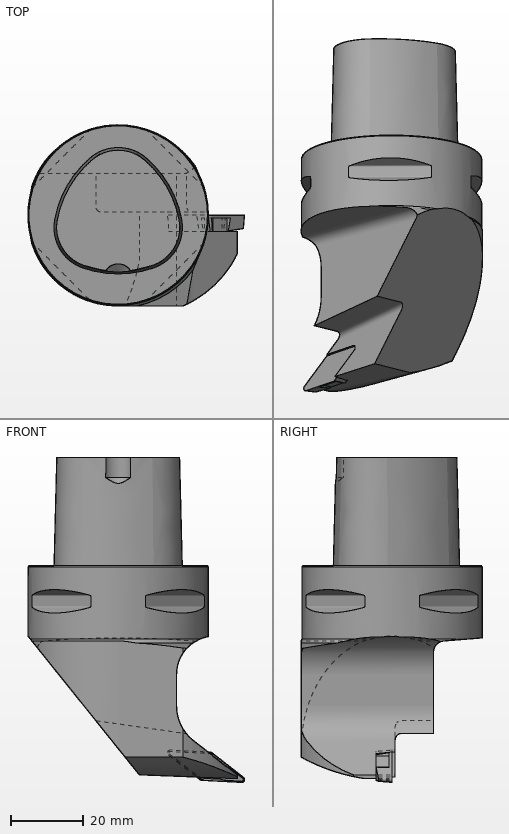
import cadquery as cq
import math


SHANK_LENGTH = 30.0
SHANK_LOBES = 3
SHANK_TIP_REACH = 18.7
SHANK_FLAT_REACH = 16.3
SHANK_LOBE_RADIUS = 11.9
SHANK_TAPER_ANGLE = math.degrees(math.atan(1 / 40))
KEYWAY_RADIUS = 4.0
KEYWAY_Y = -17.5
KEYWAY_DEPTH = 5.6
KEYWAY_CONE_DEPTH = 2.9

FLANGE_RADIUS = 25.0
FLANGE_CHAMFER = 0.3
FLANGE_BOTTOM = -20.3
SLOT_Z = -9.85
SLOT_FLOOR_DISTANCE = 22.2
SLOT_FLOOR_HEIGHT = 3.26
SLOT_WALL_ANGLE = 30.0
SLOT_FLOOR_FILLET = 0.45
SLOT_COUNT = 4

HEAD_RADIUS = 25.2
HEAD_COLLAR_Z = -20.8
HEAD_COLLAR_FOOT_RADIUS = 25.7
HEAD_COLLAR_FOOT_Z = -21.4
HEAD_TOP_ANGLE = 15.0
HEAD_END_X = 33.0
HEAD_BACK_Y = 11.5
SIDE_RADIUS = 30.1
SIDE_CENTRE_X = 5.9
SIDE_CENTRE_Y = 2.4
UNDERCUT_ANGLE = 4.6
UNDERCUT_EDGE_Z = -20.0
UNDERCUT_FILLET = 3.0
FLANK_TOP_Z = -19.46
FLANK_FOOT_X = 5.85
FLANK_FOOT_Z = -57.9
BOTTOM_ANGLE = 2.2
BOTTOM_RADIUS = 52.0
BOTTOM_CENTRE_Z = -7.5
BLADE_BACK_Y = 0.85
BLADE_STEP_START_Z = -42.9
BLADE_STEP_END_Z = -46.1
BLADE_STEP_FILLET = 1.6

INSERT_TIP_X = 35.0
INSERT_TIP_Z = -60.0
INSERT_SIDE = 13.84
INSERT_NOSE = 0.8
INSERT_POINT_ANGLE = 35.0
INSERT_LEAD_ANGLE = 3.0
INSERT_UPPER_ANGLE = INSERT_LEAD_ANGLE + INSERT_POINT_ANGLE
INSERT_THICKNESS = 4.5
INSERT_CLEARANCE = 5.0
INSERT_RIM = 0.8
NOTCH_LENGTH = 6.9
NOTCH_RAMP = 1.0
NOTCH_DEPTH = 0.6
NOSE_RELIEF_START_X = 30.0
NOSE_RELIEF_THICKNESS = 3.7

NECK_X = 16.2
NECK_TOP_RADIUS = 10.5
NECK_TOP_Z = -30.0
NECK_LOWER_RADIUS = 12.0
NECK_INSERT_SETBACK = 0.5

REACH = 100.0
OVERCUT = 1.0


def direction(degrees):
    angle = math.radians(degrees)
    return cq.Vector(math.cos(angle), math.sin(angle))


nose_centre = cq.Vector(INSERT_TIP_X - INSERT_NOSE, INSERT_TIP_Z + INSERT_NOSE)
upper_edge = direction(180 - INSERT_UPPER_ANGLE)
lower_edge = direction(180 - INSERT_LEAD_ANGLE)
bisector = direction(180 - INSERT_LEAD_ANGLE - INSERT_POINT_ANGLE / 2)
sharp_offset = INSERT_NOSE / math.sin(math.radians(INSERT_POINT_ANGLE / 2))
insert_tip = nose_centre - bisector * sharp_offset
insert_top = insert_tip + upper_edge * INSERT_SIDE
insert_low = insert_tip + lower_edge * INSERT_SIDE
insert_far = insert_top + lower_edge * INSERT_SIDE


def xz_plane(y=0.0):
    """Workplane with local axes X and Z, whose extrusions run toward -Y."""
    return cq.Workplane("XZ", origin=(0, y, 0))


def long_prism(outline):
    """Closes an outline and runs it right through the part, both ways from its plane."""
    return outline.close().extrude(REACH, both=True)


def lobed_outline():
    """Lobe arcs and flatter side arcs that join tangentially; one lobe points toward +Y."""
    lobe_offset = SHANK_TIP_REACH - SHANK_LOBE_RADIUS
    bulge = SHANK_TIP_REACH - SHANK_FLAT_REACH
    side_offset = bulge * (2 * lobe_offset - bulge) / (lobe_offset - 2 * bulge)
    side_radius = SHANK_FLAT_REACH + side_offset
    half_pitch = 180 / SHANK_LOBES
    outline = None
    for number in range(SHANK_LOBES):
        lobe_angle = 90 + number * 2 * half_pitch
        lobe_centre = direction(lobe_angle) * lobe_offset
        seams = []
        for side in (-1, 1):
            side_angle = lobe_angle + side * half_pitch
            side_centre = direction(side_angle) * -side_offset
            toward_seam = (lobe_centre - side_centre).normalized()
            seams.append(side_centre + toward_seam * side_radius)
        tip = direction(lobe_angle) * SHANK_TIP_REACH
        if outline is None:
            first_seam = seams[0]
            outline = cq.Workplane("XY").moveTo(first_seam.x, first_seam.y)
        else:
            flat_middle = direction(lobe_angle - half_pitch) * SHANK_FLAT_REACH
            outline = outline.threePointArc(flat_middle.toTuple()[:2], seams[0].toTuple()[:2])
        outline = outline.threePointArc(tip.toTuple()[:2], seams[1].toTuple()[:2])
    last_middle = direction(90 - half_pitch) * SHANK_FLAT_REACH
    return outline.threePointArc(last_middle.toTuple()[:2], first_seam.toTuple()[:2]).close()


def make_shank():
    shank = lobed_outline().extrude(SHANK_LENGTH, taper=SHANK_TAPER_ANGLE)
    floor_z = SHANK_LENGTH - KEYWAY_DEPTH
    keyway = (
        cq.Workplane("XZ", origin=(0, KEYWAY_Y, 0))
        .moveTo(0, floor_z - KEYWAY_CONE_DEPTH)
        .lineTo(KEYWAY_RADIUS, floor_z)
        .lineTo(KEYWAY_RADIUS, SHANK_LENGTH + OVERCUT)
        .lineTo(0, SHANK_LENGTH + OVERCUT)
        .close()
        .revolve(360, (0, 0, 0), (0, 1, 0))
    )
    return shank.cut(keyway)


def make_flange():
    flange = cq.Workplane("XY").circle(FLANGE_RADIUS).extrude(FLANGE_BOTTOM)
    flange = flange.faces(">Z").edges().chamfer(FLANGE_CHAMFER)
    slot_depth = FLANGE_RADIUS - SLOT_FLOOR_DISTANCE + OVERCUT
    half_floor = SLOT_FLOOR_HEIGHT / 2
    half_mouth = half_floor + slot_depth * math.tan(math.radians(SLOT_WALL_ANGLE))
    mouth = SLOT_FLOOR_DISTANCE + slot_depth
    slot = (
        cq.Workplane("XZ")
        .moveTo(SLOT_FLOOR_DISTANCE, SLOT_Z - half_floor)
        .lineTo(mouth, SLOT_Z - half_mouth)
        .lineTo(mouth, SLOT_Z + half_mouth)
        .lineTo(SLOT_FLOOR_DISTANCE, SLOT_Z + half_floor)
        .close()
        .extrude(FLANGE_RADIUS, both=True)
        .faces("<X")
        .edges("|Y")
        .fillet(SLOT_FLOOR_FILLET)
    )
    pitch = 360 / SLOT_COUNT
    for number in range(SLOT_COUNT):
        flange = flange.cut(slot.rotate((0, 0, 0), (0, 0, 1), pitch * (number + 0.5)))
    return flange


def head_blank():
    """Head outline in XY, run down from the flange and trimmed by the sloping shoulder."""
    corner_dy = -HEAD_RADIUS - SIDE_CENTRE_Y
    corner_x = SIDE_CENTRE_X + math.sqrt(SIDE_RADIUS**2 - corner_dy**2)
    end_dx = HEAD_END_X - SIDE_CENTRE_X
    end_y = SIDE_CENTRE_Y - math.sqrt(SIDE_RADIUS**2 - end_dx**2)
    blank = (
        cq.Workplane("XY")
        .moveTo(0, -HEAD_RADIUS)
        .lineTo(corner_x, -HEAD_RADIUS)
        .radiusArc((HEAD_END_X, end_y), -SIDE_RADIUS)
        .lineTo(HEAD_END_X, HEAD_RADIUS)
        .lineTo(0, HEAD_RADIUS)
        .radiusArc((0, -HEAD_RADIUS), -HEAD_RADIUS)
        .close()
        .extrude(-REACH)
    )
    shoulder_drop = (REACH - HEAD_COLLAR_FOOT_RADIUS) * math.tan(math.radians(HEAD_TOP_ANGLE))
    envelope = (
        cq.Workplane("XZ")
        .moveTo(0, FLANGE_BOTTOM)
        .lineTo(FLANGE_RADIUS, FLANGE_BOTTOM)
        .threePointArc((HEAD_RADIUS, HEAD_COLLAR_Z), (HEAD_COLLAR_FOOT_RADIUS, HEAD_COLLAR_FOOT_Z))
        .lineTo(REACH, HEAD_COLLAR_FOOT_Z - shoulder_drop)
        .lineTo(REACH, -REACH)
        .lineTo(0, -REACH)
        .close()
        .revolve(360, (0, 0, 0), (0, 1, 0))
    )
    return blank.intersect(envelope)


def flank_cutter():
    """Everything below the sloping flank on the -X side."""
    slope = (FLANK_TOP_Z - FLANK_FOOT_Z) / (FLANK_FOOT_X + FLANGE_RADIUS)
    return long_prism(
        xz_plane()
        .moveTo(-REACH, FLANK_TOP_Z + slope * (REACH - FLANGE_RADIUS))
        .lineTo(-FLANGE_RADIUS + REACH, FLANK_TOP_Z - slope * REACH)
        .lineTo(-REACH, FLANK_TOP_Z - slope * REACH)
    )


def undercut_cutter():
    """Space behind the head, under the flange."""
    rise = math.tan(math.radians(UNDERCUT_ANGLE))
    inner_z = UNDERCUT_EDGE_Z - rise * (FLANGE_RADIUS - HEAD_BACK_Y)
    outer_z = UNDERCUT_EDGE_Z + rise * (REACH - FLANGE_RADIUS)
    cutter = long_prism(
        cq.Workplane("YZ")
        .moveTo(HEAD_BACK_Y, -REACH)
        .lineTo(HEAD_BACK_Y, inner_z)
        .lineTo(REACH, outer_z)
        .lineTo(REACH, -REACH)
    )
    return cutter.edges("|X").edges("<Y").edges(">Z").fillet(UNDERCUT_FILLET)


def neck_cutter():
    """Hollow with two rounded corners; its lower run is parallel to the insert's upper edge."""
    line_normal = direction(90 - INSERT_UPPER_ANGLE)
    lower_centre_x = NECK_X + NECK_LOWER_RADIUS
    line_point = insert_tip - line_normal * NECK_INSERT_SETBACK
    gap = NECK_LOWER_RADIUS - (lower_centre_x - line_point.x) * line_normal.x
    lower_centre = cq.Vector(lower_centre_x, line_point.y + gap / line_normal.y)
    tangent = lower_centre - line_normal * NECK_LOWER_RADIUS
    line_end = line_point - upper_edge * INSERT_SIDE
    top_z = NECK_TOP_Z + NECK_TOP_RADIUS
    return long_prism(
        xz_plane()
        .moveTo(REACH, top_z)
        .lineTo(NECK_X + NECK_TOP_RADIUS, top_z)
        .radiusArc((NECK_X, NECK_TOP_Z), -NECK_TOP_RADIUS)
        .lineTo(NECK_X, lower_centre.y)
        .radiusArc((tangent.x, tangent.y), -NECK_LOWER_RADIUS)
        .lineTo(line_end.x, line_end.y)
        .lineTo(REACH, line_end.y)
    )


def bottom_cutters():
    """Tilted bottom plane and the rounded clearance below the -Y side."""
    slope = math.tan(math.radians(BOTTOM_ANGLE))
    plane = long_prism(
        xz_plane()
        .moveTo(FLANK_FOOT_X - REACH, FLANK_FOOT_Z + slope * REACH)
        .lineTo(FLANK_FOOT_X + REACH, FLANK_FOOT_Z - slope * REACH)
        .lineTo(FLANK_FOOT_X + REACH, -2 * REACH)
        .lineTo(FLANK_FOOT_X - REACH, -2 * REACH)
    )
    lowest = BOTTOM_CENTRE_Z - BOTTOM_RADIUS
    clearance = long_prism(
        cq.Workplane("YZ")
        .moveTo(0, lowest)
        .radiusArc((-BOTTOM_RADIUS, BOTTOM_CENTRE_Z), BOTTOM_RADIUS)
        .lineTo(-REACH, BOTTOM_CENTRE_Z)
        .lineTo(-REACH, -REACH)
        .lineTo(0, -REACH)
    )
    return plane, clearance


def blade_step_cutter():
    """Thins the lower head to the blade, below a gently sloping step."""
    flank_slope = (FLANK_FOOT_X + FLANGE_RADIUS) / (FLANK_TOP_Z - FLANK_FOOT_Z)
    start_x = -FLANGE_RADIUS + (FLANK_TOP_Z - BLADE_STEP_START_Z) * flank_slope
    slope = (BLADE_STEP_START_Z - BLADE_STEP_END_Z) / (NECK_X - start_x)
    cutter = (
        xz_plane(BLADE_BACK_Y)
        .moveTo(start_x - REACH, BLADE_STEP_START_Z + slope * REACH)
        .lineTo(start_x + REACH, BLADE_STEP_START_Z - slope * REACH)
        .lineTo(start_x + REACH, -REACH)
        .lineTo(start_x - REACH, -REACH)
        .close()
        .extrude(-REACH)
    )
    return cutter.faces("<Y").edges(">Z").fillet(BLADE_STEP_FILLET)


def insert_outline():
    corners = (insert_tip, insert_top, insert_far, insert_low, insert_tip)
    points = [(corner.x, corner.y) for corner in corners]
    return cq.Sketch().polygon(points).vertices().fillet(INSERT_NOSE)


def insert_blank():
    return xz_plane().placeSketch(insert_outline()).extrude(INSERT_THICKNESS, taper=INSERT_CLEARANCE)


def insert_pocket():
    """Seat that fits the insert and is open toward +Y."""
    opening = xz_plane().placeSketch(insert_outline()).extrude(-REACH)
    return insert_blank().union(opening)


def side_notch(corner, edge_angle, inward):
    """Notch along one insert edge, from its obtuse corner toward the tip, below the rim.

    `inward` is -1 when the insert lies below the edge and 1 when it lies above.
    """
    return (
        cq.Workplane("XZ", origin=(corner.x, -INSERT_RIM, corner.y))
        .transformed(rotate=(0, 0, -edge_angle))
        .lineTo(NOTCH_RAMP, inward * NOTCH_DEPTH)
        .lineTo(NOTCH_LENGTH - NOTCH_RAMP, inward * NOTCH_DEPTH)
        .lineTo(NOTCH_LENGTH, 0)
        .lineTo(NOTCH_LENGTH, -inward * NOTCH_DEPTH)
        .lineTo(0, -inward * NOTCH_DEPTH)
        .close()
        .extrude(INSERT_THICKNESS)
    )


def make_insert():
    insert = insert_blank()
    insert = insert.cut(side_notch(insert_top, INSERT_UPPER_ANGLE, -1))
    insert = insert.cut(side_notch(insert_low, INSERT_LEAD_ANGLE, 1))
    nose_relief = (
        cq.Workplane("XY")
        .moveTo(NOSE_RELIEF_START_X, -INSERT_THICKNESS)
        .lineTo(INSERT_TIP_X, -NOSE_RELIEF_THICKNESS)
        .lineTo(INSERT_TIP_X, -INSERT_THICKNESS)
        .close()
        .extrude(-REACH)
    )
    return insert.cut(nose_relief)


def make_holder():
    holder = make_flange().union(head_blank()).union(make_shank())
    cutters = [flank_cutter(), undercut_cutter(), neck_cutter(), *bottom_cutters()]
    cutters += [blade_step_cutter(), insert_pocket()]
    for cutter in cutters:
        holder = holder.cut(cutter)
    return holder


holder = make_holder()
insert = make_insert()

result = cq.Compound.makeCompound([*holder.vals(), *insert.vals()])